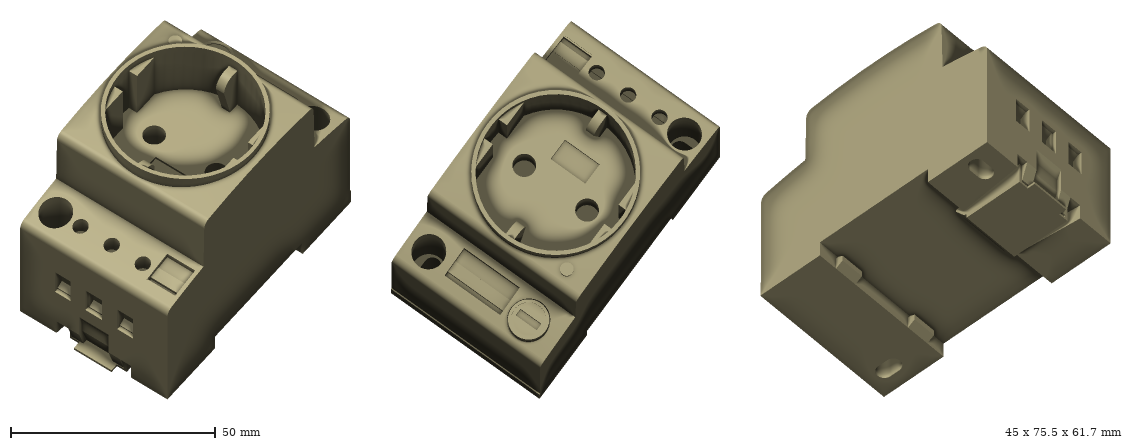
import cadquery as cq
import math


BODY_WIDTH = 45.0
FRONT_Y = -37.45
BACK_FOOT_Y = 37.6
BACK_TOP_Y = 37.3
TOWER_HALF_TOP = 22.35
TOWER_HALF_FOOT = 22.7
ROOF_RADIUS = 160.0
ROOF_PEAK = 57.4
SHELF_PEAK = 40.2
EDGE_ROUND = 2.2

RAIL_HALF = 17.9
RAIL_DEPTH = 4.75
FIXED_HOOK_REACH = 2.2
FIXED_HOOK_TIP_LOW = 1.35
FIXED_HOOK_TIP_HIGH = 3.1
FIXED_HOOK_FLAT = 0.9
FIXED_HOOK_TOP = 3.7
FIXED_HOOK_X = (9.6, 16.6)

RING_TOP = 59.85
RING_RADIUS = 20.7
BOWL_RADIUS = 19.6
BOWL_DEPTH = 17.5
BOWL_FLOOR = RING_TOP - BOWL_DEPTH
PIN_PITCH = 19.0
PIN_HOLE_DIAMETER = 5.8
PIN_HOLE_DEPTH = 7.55
GUIDE_INNER_X = 16.9
GUIDE_GAP = 5.9
GUIDE_HEIGHT = 15.2
EARTH_WIDTH = 2.5
EARTH_TIP_Y = 14.2
EARTH_FOOT_Y = 16.6
EARTH_HEIGHT = 14.0
EARTH_ROUND = 3.6
FLOOR_PANEL_SIZE = (10.5, 6.0)
FLOOR_PANEL_Y = -8.1
FLOOR_PANEL_DEPTH = 0.75

LAMP_POSITION = (-16.1, 17.4)
LAMP_DIAMETER = 3.4
LAMP_TOP = 56.9

FUSE_POSITION = (-13.6, 29.9)
FUSE_DIAMETER = 10.1
FUSE_BORE_DIAMETER = 10.65
FUSE_BORE_DEPTH = 1.5
FUSE_TOP = 38.6
FUSE_RIM = 0.75
FUSE_RECESS = 0.2
FUSE_SLOT = (6.35, 2.0)
FUSE_SLOT_DEPTH = 0.75

MOUNT_DIAMETER = 8.5
MOUNT_SLOT_LENGTH = 7.4
MOUNT_SLOT_WIDTH = 4.45
MOUNT_SEAT = 15.1
FRONT_MOUNT = (-16.9, -30.35)
REAR_MOUNT = (16.3, 30.35)

TERMINAL_PITCH = 9.5
SCREW_Y = -30.1
SCREW_DIAMETER = 4.0
SCREW_DEPTH = 4.5
SCREW_SLOT_WIDTH = 0.7
SCREW_SLOT_DEPTH = 0.6
ENTRY_BOTTOM = 16.5
ENTRY_TOP = 24.5
ENTRY_SILL = 1.1
ENTRY_DEPTH = 2.9
ENTRY_STEP = 0.4
ENTRY_BACK_BOTTOM = 17.9
ENTRY_BACK_TOP = 23.2
SIDE_ENTRY_WIDTH = 4.75
MIDDLE_ENTRY_WIDTH = 5.1
MIDDLE_ENTRY_BACK_WIDTH = 4.4

WINDOW_INNER_Y = 24.7
WINDOW_LENGTH = 8.45
WINDOW_DEPTH = 1.35
WINDOW_STRIP_START = 3.6
WINDOW_STRIP_END = 6.7
WINDOW_STRIP_RISE = 0.2
WINDOW_TROUGH_DROP = 0.6
WINDOW_LEDGE_WIDTH = 0.4
WINDOW_LEDGE_DEPTH = 0.2
FRONT_WINDOW_X = (12.9, 21.4)
REAR_WINDOW_X = (-7.1, 9.7)

CHANNEL_HALF_FRONT = 11.4
CHANNEL_HALF_BACK = 9.6
LATCH_HALF = 8.7
LATCH_WALL = 0.8
LATCH_FRONT_Y = -35.6
LATCH_BACK_Y = -18.1
LATCH_BOTTOM = -1.8
LATCH_PLATE = 0.75
LATCH_GAP_TOP = -0.5
HOOK_HEEL_Y = -17.2
HOOK_HEEL = -0.2
HOOK_TIP_Y = -14.65
HOOK_TIP_LOW = 2.95
HOOK_TIP_HIGH = 3.6
HOOK_NECK_Y = -16.75
HOOK_SHOULDER = 3.9
TAB_HALF = 5.7
TAB_TIP_Y = -37.9
GRIP_HALF = 4.45
GRIP_TOP = 12.1
GRIP_CEILING = 9.35
GRIP_KNEE = 5.05
GRIP_DEPTH = 1.3
LATCH_SLOPE = 0.31


def box(x0, x1, y0, y1, z0, z1):
    return cq.Workplane("XY").box(x1 - x0, y1 - y0, z1 - z0, centered=False).translate((x0, y0, z0))


def post(position, diameter, z0, z1):
    return cq.Workplane("XY", origin=(0, 0, z0)).center(*position).circle(diameter / 2).extrude(z1 - z0)


def prism(points, x0, x1):
    """Extrude a closed (Y, Z) outline from x0 to x1."""
    return cq.Workplane("YZ", origin=(x0, 0, 0)).polyline(points).close().extrude(x1 - x0)


def crown(peak, y):
    """Height at y of a crowned surface with the given peak."""
    return peak - ROOF_RADIUS + math.sqrt(ROOF_RADIUS**2 - y**2)


def shelf_arc(sketch, y_from, y_to):
    middle = (y_from + y_to) / 2
    return sketch.threePointArc((middle, crown(SHELF_PEAK, middle)), (y_to, crown(SHELF_PEAK, y_to)))


def make_body():
    outline = (
        cq.Workplane("YZ", origin=(-BODY_WIDTH / 2, 0, 0))
        .moveTo(FRONT_Y, 0)
        .lineTo(FRONT_Y, crown(SHELF_PEAK, FRONT_Y))
    )
    outline = shelf_arc(outline, FRONT_Y, -TOWER_HALF_FOOT)
    roof_end = crown(ROOF_PEAK, TOWER_HALF_TOP)
    outline = outline.lineTo(-TOWER_HALF_TOP, roof_end)
    outline = outline.threePointArc((0, ROOF_PEAK), (TOWER_HALF_TOP, roof_end))
    outline = outline.lineTo(TOWER_HALF_FOOT, crown(SHELF_PEAK, TOWER_HALF_FOOT))
    outline = shelf_arc(outline, TOWER_HALF_FOOT, BACK_TOP_Y)
    body = (
        outline.lineTo(BACK_TOP_Y, RAIL_DEPTH)
        .lineTo(BACK_FOOT_Y, RAIL_DEPTH)
        .lineTo(BACK_FOOT_Y, 0)
        .lineTo(RAIL_HALF, 0)
        .lineTo(RAIL_HALF, RAIL_DEPTH)
        .lineTo(-RAIL_HALF, RAIL_DEPTH)
        .lineTo(-RAIL_HALF, 0)
        .close()
        .extrude(BODY_WIDTH)
    )
    outer_edges = [
        (FRONT_Y, crown(SHELF_PEAK, FRONT_Y)),
        (-TOWER_HALF_TOP, roof_end),
        (TOWER_HALF_TOP, roof_end),
        (BACK_TOP_Y, crown(SHELF_PEAK, BACK_TOP_Y)),
    ]
    for y, z in outer_edges:
        body = body.edges(cq.selectors.NearestToPointSelector((0, y, z))).fillet(EDGE_ROUND)
    return body


def fixed_hooks():
    """Two rounded noses, one each side of the latch line, that hold the rear edge of the rail."""
    tip = RAIL_HALF - FIXED_HOOK_REACH
    points = [
        (RAIL_HALF, 0),
        (tip, FIXED_HOOK_TIP_LOW),
        (tip, FIXED_HOOK_TIP_HIGH),
        (RAIL_HALF - FIXED_HOOK_FLAT, FIXED_HOOK_TOP),
        (RAIL_HALF, FIXED_HOOK_TOP),
    ]
    hook = prism(points, *FIXED_HOOK_X)
    return hook.union(hook.mirror("YZ"))


def earth_contact():
    """Sprung earth contact at the rear of the bowl."""
    top = BOWL_FLOOR + EARTH_HEIGHT
    wall = (RING_RADIUS + BOWL_RADIUS) / 2
    arc_y = EARTH_TIP_Y + EARTH_ROUND
    arc_z = top - EARTH_ROUND
    offset = EARTH_ROUND * math.sqrt(0.5)
    return (
        cq.Workplane("YZ", origin=(-EARTH_WIDTH / 2, 0, 0))
        .moveTo(wall, BOWL_FLOOR)
        .lineTo(wall, top)
        .lineTo(arc_y, top)
        .threePointArc((arc_y - offset, arc_z + offset), (EARTH_TIP_Y, arc_z))
        .lineTo(EARTH_FOOT_Y, BOWL_FLOOR)
        .close()
        .extrude(EARTH_WIDTH)
    )


def add_socket(body):
    body = body.union(post((0, 0), 2 * RING_RADIUS, BOWL_FLOOR, RING_TOP))
    bowl = post((0, 0), 2 * BOWL_RADIUS, BOWL_FLOOR, RING_TOP)
    guide_top = BOWL_FLOOR + GUIDE_HEIGHT
    guides = (
        post((0, 0), 2 * BOWL_RADIUS, BOWL_FLOOR, guide_top)
        .cut(box(-GUIDE_INNER_X, GUIDE_INNER_X, -BOWL_RADIUS, BOWL_RADIUS, BOWL_FLOOR, guide_top))
        .cut(box(-BOWL_RADIUS, BOWL_RADIUS, -GUIDE_GAP / 2, GUIDE_GAP / 2, BOWL_FLOOR, guide_top))
    )
    body = body.cut(bowl.cut(guides))
    contact = earth_contact()
    body = body.union(contact).union(contact.mirror("XZ"))
    for side in (-1, 1):
        pin = (side * PIN_PITCH / 2, 0)
        body = body.cut(post(pin, PIN_HOLE_DIAMETER, BOWL_FLOOR - PIN_HOLE_DEPTH, BOWL_FLOOR))
    panel = (
        cq.Workplane("XY", origin=(0, FLOOR_PANEL_Y, BOWL_FLOOR))
        .rect(*FLOOR_PANEL_SIZE)
        .extrude(-FLOOR_PANEL_DEPTH)
    )
    return body.cut(panel)


def add_lamp(body):
    return body.union(post(LAMP_POSITION, LAMP_DIAMETER, BOWL_FLOOR, LAMP_TOP))


def add_fuse_cap(body):
    cap = post(FUSE_POSITION, FUSE_DIAMETER, RAIL_DEPTH, FUSE_TOP)
    recess_floor = FUSE_TOP - FUSE_RECESS
    recess = post(FUSE_POSITION, FUSE_DIAMETER - 2 * FUSE_RIM, recess_floor, FUSE_TOP)
    slot = (
        cq.Workplane("XY", origin=(*FUSE_POSITION, recess_floor)).rect(*FUSE_SLOT).extrude(-FUSE_SLOT_DEPTH)
    )
    bore_floor = crown(SHELF_PEAK, FUSE_POSITION[1]) - FUSE_BORE_DEPTH
    bore = post(FUSE_POSITION, FUSE_BORE_DIAMETER, bore_floor, SHELF_PEAK)
    return body.cut(bore).union(cap).cut(recess).cut(slot)


def mounting_hole(position, slot_angle):
    """Round well for the screw head above an elongated through slot."""
    slot = (
        cq.Workplane("XY")
        .center(*position)
        .slot2D(MOUNT_SLOT_LENGTH, MOUNT_SLOT_WIDTH, slot_angle)
        .extrude(MOUNT_SEAT)
    )
    return post(position, MOUNT_DIAMETER, MOUNT_SEAT, SHELF_PEAK).union(slot)


def terminal_screw_hole(x):
    floor = crown(SHELF_PEAK, SCREW_Y) - SCREW_DEPTH
    hole = post((x, SCREW_Y), SCREW_DIAMETER, floor, SHELF_PEAK)
    slot = post((x, SCREW_Y), SCREW_DIAMETER, floor - SCREW_SLOT_DEPTH, floor).intersect(
        box(
            x - SCREW_DIAMETER,
            x + SCREW_DIAMETER,
            SCREW_Y - SCREW_SLOT_WIDTH / 2,
            SCREW_Y + SCREW_SLOT_WIDTH / 2,
            floor - SCREW_SLOT_DEPTH,
            floor,
        )
    )
    return hole.union(slot)


def wire_entry(x, width, back_width):
    """Front opening for a wire: a straight mouth, then a funnel with sloped floor and ceiling."""
    sill_y = FRONT_Y + ENTRY_SILL
    back_y = FRONT_Y + ENTRY_DEPTH
    mouth = box(x - width / 2, x + width / 2, FRONT_Y, sill_y, ENTRY_BOTTOM, ENTRY_TOP)
    funnel = prism(
        [
            (sill_y, ENTRY_BOTTOM + ENTRY_STEP),
            (back_y, ENTRY_BACK_BOTTOM),
            (back_y, ENTRY_BACK_TOP),
            (sill_y, ENTRY_TOP),
        ],
        x - back_width / 2,
        x + back_width / 2,
    )
    return mouth.union(funnel)


def cut_terminals(body):
    for index in (-1, 0, 1):
        x = index * TERMINAL_PITCH
        body = body.cut(terminal_screw_hole(x))
        if index == 0:
            entry = wire_entry(x, MIDDLE_ENTRY_WIDTH, MIDDLE_ENTRY_BACK_WIDTH)
        else:
            entry = wire_entry(x, SIDE_ENTRY_WIDTH, SIDE_ENTRY_WIDTH)
        body = body.cut(entry)
    return body


def label_window(x0, x1):
    """Rear-shelf window with a raised strip, a trough and a narrow ledge along its outer edge."""
    def floor(y, depth):
        return (y, crown(SHELF_PEAK, y) - depth)

    strip_start = WINDOW_INNER_Y + WINDOW_STRIP_START
    strip_end = WINDOW_INNER_Y + WINDOW_STRIP_END
    outer_y = WINDOW_INNER_Y + WINDOW_LENGTH
    ledge_y = outer_y - WINDOW_LEDGE_WIDTH
    strip_depth = WINDOW_DEPTH - WINDOW_STRIP_RISE
    trough_depth = WINDOW_DEPTH + WINDOW_TROUGH_DROP
    points = [
        (WINDOW_INNER_Y, SHELF_PEAK),
        floor(WINDOW_INNER_Y, WINDOW_DEPTH),
        floor(strip_start, WINDOW_DEPTH),
        floor(strip_start, strip_depth),
        floor(strip_end, strip_depth),
        floor(strip_end, trough_depth),
        floor(ledge_y, trough_depth),
        floor(ledge_y, WINDOW_LEDGE_DEPTH),
        floor(outer_y, WINDOW_LEDGE_DEPTH),
        (outer_y, SHELF_PEAK),
    ]
    return prism(points, x0, x1)


def cut_latch_seat(body):
    channel = (
        cq.Workplane("XY")
        .polyline(
            [
                (-CHANNEL_HALF_FRONT, FRONT_Y),
                (CHANNEL_HALF_FRONT, FRONT_Y),
                (CHANNEL_HALF_BACK, -RAIL_HALF),
                (-CHANNEL_HALF_BACK, -RAIL_HALF),
            ]
        )
        .close()
        .extrude(RAIL_DEPTH)
    )
    return body.cut(channel)


def make_latch():
    inner = LATCH_HALF - LATCH_WALL
    plate_top = LATCH_BOTTOM + LATCH_PLATE
    latch = box(-LATCH_HALF, LATCH_HALF, LATCH_FRONT_Y, LATCH_BACK_Y, LATCH_BOTTOM, RAIL_DEPTH)
    latch = latch.cut(box(-inner, inner, LATCH_FRONT_Y, LATCH_BACK_Y, plate_top, RAIL_DEPTH))
    latch = latch.union(box(-TAB_HALF, TAB_HALF, TAB_TIP_Y, LATCH_FRONT_Y, LATCH_BOTTOM, plate_top))
    undercut = LATCH_SLOPE * (RAIL_DEPTH - LATCH_GAP_TOP)
    slider = prism(
        [
            (FRONT_Y, RAIL_DEPTH),
            (FRONT_Y + undercut, LATCH_GAP_TOP),
            (LATCH_BACK_Y, LATCH_GAP_TOP),
            (LATCH_BACK_Y, RAIL_DEPTH),
        ],
        -inner,
        inner,
    )
    hook = prism(
        [
            (LATCH_BACK_Y, LATCH_GAP_TOP),
            (HOOK_HEEL_Y, HOOK_HEEL),
            (HOOK_TIP_Y, HOOK_TIP_LOW),
            (HOOK_TIP_Y, HOOK_TIP_HIGH),
            (HOOK_NECK_Y, HOOK_SHOULDER),
            (HOOK_NECK_Y, RAIL_DEPTH),
            (LATCH_BACK_Y, RAIL_DEPTH),
        ],
        -LATCH_HALF,
        LATCH_HALF,
    )
    return latch.union(slider).union(hook)


def grip_recess():
    """Screwdriver recess in the front wall that runs down into the latch."""
    back_y = FRONT_Y + GRIP_DEPTH
    points = [
        (FRONT_Y, GRIP_TOP),
        (back_y, GRIP_CEILING),
        (back_y, GRIP_KNEE),
        (back_y + LATCH_SLOPE * (GRIP_KNEE - LATCH_GAP_TOP), LATCH_GAP_TOP),
        (FRONT_Y, LATCH_GAP_TOP),
    ]
    return prism(points, -GRIP_HALF, GRIP_HALF)


body = make_body().union(fixed_hooks())
body = add_socket(body)
body = add_lamp(body)
body = add_fuse_cap(body)
body = body.cut(mounting_hole(FRONT_MOUNT, 0)).cut(mounting_hole(REAR_MOUNT, 90))
body = cut_terminals(body)
body = body.cut(label_window(*REAR_WINDOW_X))
body = body.cut(label_window(*FRONT_WINDOW_X).mirror("XZ"))
body = cut_latch_seat(body)
result = body.union(make_latch()).cut(grip_recess())